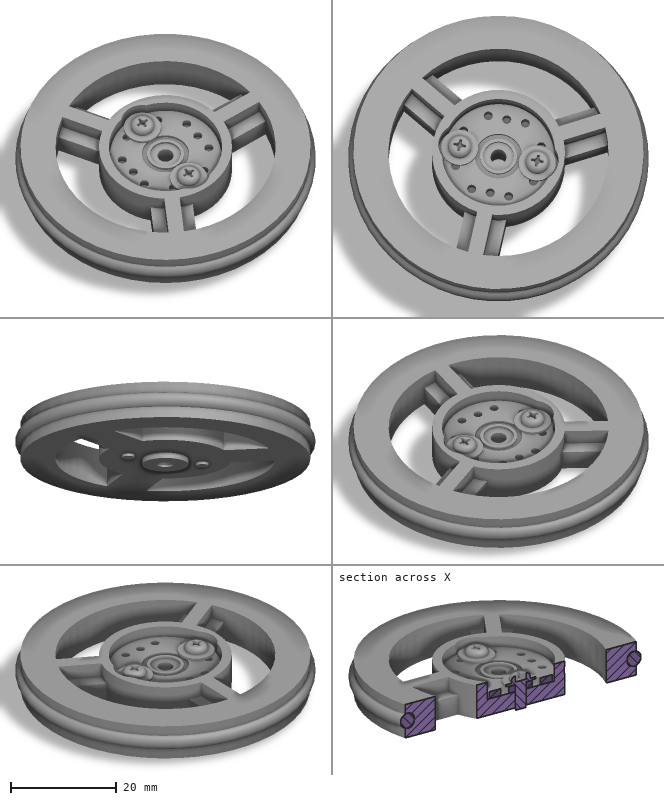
import cadquery as cq
WHEEL_HEIGHT = 7.0
TIRE_HEIGHT = WHEEL_HEIGHT / 2
RIM_OUTER_DIA = 55.0
RIM_INNER_DIA = 41.7
HUB_DIA = 25.2
SPOKE_COUNT = 3
FIRST_SPOKE_ANGLE = 90
SPOKE_BASE_WIDTH = 8.05
SPOKE_BASE_HEIGHT = 4.0
SPOKE_WEB_WIDTH = 2.9
SPOKE_OVERLAP = 0.55
HUB_RECESS_DIA = 21.5
SCREW_NOTCH_DIA = 8.1

OVERALL_DIA = 57.0
TIRE_CORD_DIA = 3.0

HORN_DIA = 21.0
HORN_TOP = 4.9
HORN_THICKNESS = 1.4
HORN_BOTTOM = HORN_TOP - HORN_THICKNESS
STEM_DIA = 8.8
STEM_DROP = 1.1
AXLE_BORE_DIA = 3.0
WELL_DIA = 8.95
WELL_DEPTH = 0.5
COLLAR_OUTER_DIA = 7.0
COLLAR_INNER_DIA = 5.8
HORN_HOLE_DIA = 1.7
HOLE_ROW_OFFSET = 7.5
HOLE_PITCH = 3.6

SCREW_OFFSET = HOLE_ROW_OFFSET
SHANK_DIA = 2.4
SHANK_DROP = 0.5
WASHER_DIA = 7.0
WASHER_THICKNESS = 0.5
HEAD_DIA = 4.4
HEAD_HEIGHT = 1.3
SOCKET_DIA = 2.4
SOCKET_DEPTH = 1.25
SOCKET_ARM_WIDTH = 0.5
SOCKET_CORE_WIDTH = 1.2

SCREW_POINTS = [(-SCREW_OFFSET, 0), (SCREW_OFFSET, 0)]


def cylinder(diameter, bottom, top, points=((0, 0),)):
    """Upright cylinders of one diameter between two heights."""
    return (
        cq.Workplane("XY")
        .workplane(offset=bottom)
        .pushPoints(points)
        .circle(diameter / 2)
        .extrude(top - bottom)
    )


def make_tire():
    """Ring of round cord around the middle of the rim."""
    ring_radius = (OVERALL_DIA - TIRE_CORD_DIA) / 2
    return (
        cq.Workplane("XZ")
        .center(ring_radius, TIRE_HEIGHT)
        .circle(TIRE_CORD_DIA / 2)
        .revolve(360, (-ring_radius, 0), (-ring_radius, 1))
    )


def make_spoke(angle):
    """T-shaped spoke: a wide base with a narrow web above it."""
    start = HUB_RECESS_DIA / 2 + SPOKE_OVERLAP
    end = RIM_INNER_DIA / 2 + SPOKE_OVERLAP
    length = end - start
    middle = (start + end) / 2
    base = cq.Workplane("XY").box(length, SPOKE_BASE_WIDTH, SPOKE_BASE_HEIGHT, centered=(True, True, False))
    web = cq.Workplane("XY").box(length, SPOKE_WEB_WIDTH, WHEEL_HEIGHT, centered=(True, True, False))
    spoke = base.union(web).translate((middle, 0, 0))
    return spoke.rotate((0, 0, 0), (0, 0, 1), angle)


def make_wheel():
    """Rim, spokes and hub, with seats for the tire, horn and screws."""
    rim = cylinder(RIM_OUTER_DIA, 0, WHEEL_HEIGHT).cut(cylinder(RIM_INNER_DIA, 0, WHEEL_HEIGHT))
    wheel = rim.union(cylinder(HUB_DIA, 0, WHEEL_HEIGHT))
    for index in range(SPOKE_COUNT):
        wheel = wheel.union(make_spoke(FIRST_SPOKE_ANGLE + index * 360 / SPOKE_COUNT))

    wheel = wheel.cut(cylinder(HUB_RECESS_DIA, HORN_BOTTOM, WHEEL_HEIGHT))
    wheel = wheel.cut(cylinder(SCREW_NOTCH_DIA, HORN_BOTTOM, WHEEL_HEIGHT, SCREW_POINTS))

    wheel = wheel.cut(cylinder(STEM_DIA, 0, HORN_BOTTOM))
    wheel = wheel.cut(cylinder(SHANK_DIA, 0, HORN_BOTTOM, SCREW_POINTS))

    return wheel.cut(make_tire())


def horn_hole_points():
    """Three places in a row on each side; screws take the middle ones at left and right."""
    points = []
    for side in (-HOLE_ROW_OFFSET, HOLE_ROW_OFFSET):
        points += [(place, side) for place in (-HOLE_PITCH, 0, HOLE_PITCH)]
        points += [(side, place) for place in (-HOLE_PITCH, HOLE_PITCH)]
    return points


def make_horn():
    """Drilled disc with a stem below and a collar standing in a round well on top."""
    disc = cylinder(HORN_DIA, HORN_BOTTOM, HORN_TOP)
    well_floor = HORN_TOP - WELL_DEPTH
    collar = cylinder(COLLAR_OUTER_DIA, well_floor, HORN_TOP).cut(
        cylinder(COLLAR_INNER_DIA, well_floor, HORN_TOP)
    )
    return (
        disc.union(cylinder(STEM_DIA, -STEM_DROP, HORN_BOTTOM))
        .cut(cylinder(WELL_DIA, well_floor, HORN_TOP))
        .union(collar)
        .cut(cylinder(AXLE_BORE_DIA, -STEM_DROP, HORN_TOP))
        .cut(cylinder(HORN_HOLE_DIA, HORN_BOTTOM, HORN_TOP, horn_hole_points()))
        .cut(cylinder(SHANK_DIA, HORN_BOTTOM, HORN_TOP, SCREW_POINTS))
    )


def make_socket(head_top):
    """Cross recess: two arms with round ends and a diamond core."""
    bottom = head_top - SOCKET_DEPTH
    plane = cq.Workplane("XY").workplane(offset=bottom)
    cross = plane.rect(SOCKET_DIA, SOCKET_ARM_WIDTH).extrude(SOCKET_DEPTH)
    cross = cross.union(plane.rect(SOCKET_ARM_WIDTH, SOCKET_DIA).extrude(SOCKET_DEPTH))
    core = plane.rect(SOCKET_CORE_WIDTH, SOCKET_CORE_WIDTH).extrude(SOCKET_DEPTH)
    cross = cross.union(core.rotate((0, 0, 0), (0, 0, 1), 45))
    return cross.intersect(cylinder(SOCKET_DIA, bottom, head_top))


def make_screw(point):
    """Domed screw with its washer, cross recess and shank."""
    washer_top = HORN_TOP + WASHER_THICKNESS
    head_top = washer_top + HEAD_HEIGHT
    dome_radius = (HEAD_DIA - SOCKET_DIA) / 2
    head = cylinder(HEAD_DIA, washer_top, head_top).faces(">Z").edges().fillet(dome_radius)
    screw = (
        cylinder(SHANK_DIA, -SHANK_DROP, HORN_TOP)
        .union(cylinder(WASHER_DIA, HORN_TOP, washer_top))
        .union(head)
        .cut(make_socket(head_top))
    )
    return screw.translate((*point, 0))


wheel = make_wheel()
tire = make_tire()
horn = make_horn()
screws = [make_screw(point) for point in SCREW_POINTS]

result = cq.Compound.makeCompound(
    [wheel.val(), tire.val(), horn.val(), *[screw.val() for screw in screws]]
)